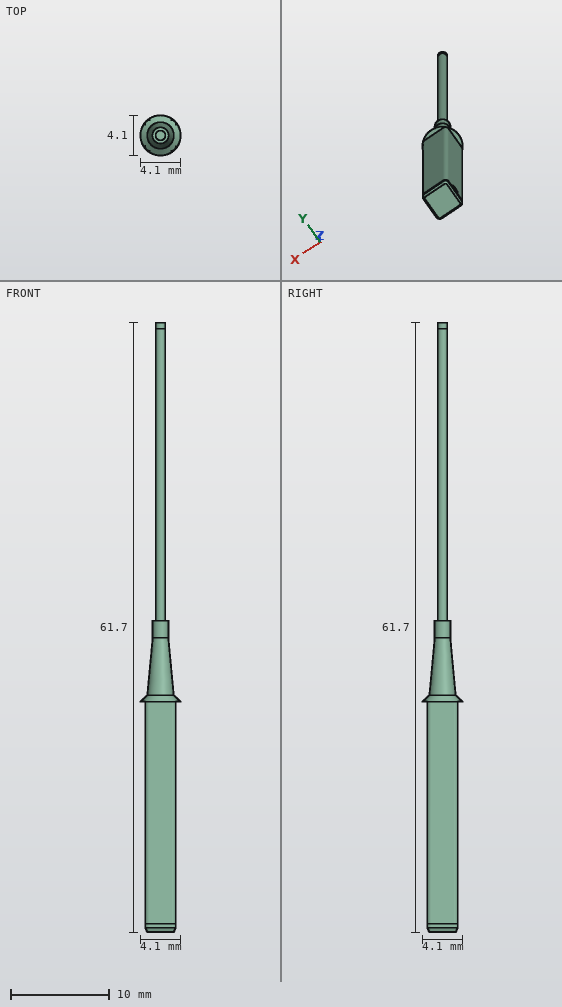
import cadquery as cq

total_height = 61.74
housing_side = 3.1
corner_radius = 0.4

plug_height = 0.85
foot_bevel_height = 0.45
foot_bevel_width = 0.2

shoulder_base_z = 23.35
shoulder_top_z = 24.0
shoulder_base_radius = 2.05

boot_base_radius = 1.35
boot_top_z = 29.85
ferrule_top_z = 31.55
ferrule_radius = 0.82
boot_rim_height = 0.2

cable_radius = 0.5
cable_tip_length = 0.6

window_radius = 0.5
window_depth = 0.3
window_sill = 0.05
window_z = plug_height + window_sill + window_radius


def square_column(bottom_z, height):
    """Square column with rounded upright corners."""
    column = cq.Workplane("XY").workplane(offset=bottom_z).rect(housing_side, housing_side).extrude(height)
    return column.edges("|Z").fillet(corner_radius)


def round_column(radius, bottom_z, top_z):
    """Cylinder on the Z axis."""
    return cq.Workplane("XY").workplane(offset=bottom_z).circle(radius).extrude(top_z - bottom_z)


def revolved(profile):
    """Solid of revolution about Z from (radius, z) points."""
    return cq.Workplane("XZ").polyline(profile).close().revolve(360, (0, 0, 0), (0, 1, 0))


def make_foot_plug():
    """Square plug with a steep bevel around its lower edge."""
    plug = square_column(0, plug_height)
    return plug.faces("<Z").chamfer(foot_bevel_height, foot_bevel_width)


def make_window():
    """Round window whose outer face is flush with the -X side."""
    sketch = cq.Workplane("YZ").workplane(offset=-housing_side / 2).center(0, window_z)
    return sketch.circle(window_radius).extrude(window_depth)


def make_housing(window):
    """Square housing with a conical shoulder on top and a recess for the window."""
    shoulder = revolved([
        (0, shoulder_base_z),
        (shoulder_base_radius, shoulder_base_z),
        (boot_base_radius, shoulder_top_z),
        (0, shoulder_top_z),
    ])
    column = square_column(plug_height, shoulder_base_z - plug_height)
    return column.union(shoulder).cut(window)


def make_boot():
    """Tapered boot with a straight rim at its top."""
    return revolved([
        (0, shoulder_top_z),
        (boot_base_radius, shoulder_top_z),
        (ferrule_radius, boot_top_z - boot_rim_height),
        (ferrule_radius, boot_top_z),
        (0, boot_top_z),
    ])


cable_top_z = total_height - cable_tip_length
foot_plug = make_foot_plug()
window = make_window()
housing = make_housing(window)
boot = make_boot()
ferrule = round_column(ferrule_radius, boot_top_z, ferrule_top_z)
cable = round_column(cable_radius, ferrule_top_z, cable_top_z)
cable_tip = round_column(cable_radius, cable_top_z, total_height)

result = cq.Compound.makeCompound([
    foot_plug.val(),
    window.val(),
    housing.val(),
    boot.val(),
    ferrule.val(),
    cable.val(),
    cable_tip.val(),
])